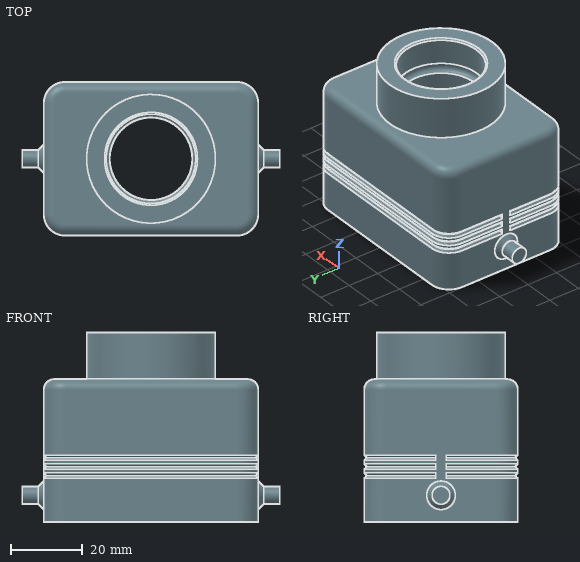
import cadquery as cq
import math

LENGTH = 60.0
WIDTH = 43.0
HEIGHT = 40.0
CORNER_RADIUS = 6.0
TOP_FILLET = 3.0

WALL = 3.0
CAVITY_SIDE = WIDTH - 2 * WALL
CAVITY_HEIGHT = HEIGHT - WALL

COLLAR_RADIUS = 18.0
COLLAR_HEIGHT = 13.0
TOTAL_HEIGHT = HEIGHT + COLLAR_HEIGHT
BORE_RADIUS = 12.5
BORE_CHAMFER = 0.5
PASSAGE_RADIUS = 11.5
RELIEF_RADIUS = 1.5
RELIEF_CENTER_DEPTH = 9.35

PEG_SPAN = 72.0
PEG_RADIUS = 2.5
PEG_Z = 7.5
PEG_BASE_RADIUS = 4.0
PEG_BASE_LENGTH = 1.5
PEG_EMBED = 1.0

GROOVE_COUNT = 3
LOWEST_GROOVE_Z = 13.0
GROOVE_PITCH = 2.5
GROOVE_DEPTH = 0.75
GROOVE_FLANK_ANGLE = 45.0
GROOVE_GAP = 2.8


def rounded_block(length, width, height, radius):
    """Upright block with rounded vertical corners, standing on Z = 0."""
    return cq.Workplane("XY").rect(length, width).extrude(height).edges("|Z").fillet(radius)


def groove_core(z, direction):
    """Frustum tapering at 45 degrees from the V's mouth to its root at height z."""
    mouth = z + direction * GROOVE_DEPTH
    return (
        cq.Workplane("XY", origin=(0, 0, mouth))
        .sketch().rect(LENGTH, WIDTH).vertices().fillet(CORNER_RADIUS).finalize()
        .extrude(-direction * GROOVE_DEPTH, taper=GROOVE_FLANK_ANGLE)
    )


def groove_cutter(z):
    """Ring with a 45-degree V section, broken at the middle of both end faces."""
    groove_width = 2 * GROOVE_DEPTH
    band = (
        rounded_block(LENGTH, WIDTH, groove_width, CORNER_RADIUS)
        .translate((0, 0, z - GROOVE_DEPTH))
    )
    gap = cq.Workplane("XY", origin=(0, 0, z)).box(LENGTH, GROOVE_GAP, groove_width)
    return band.cut(groove_core(z, 1)).cut(groove_core(z, -1)).cut(gap)


def peg(side):
    """Peg with a conical base on the end face at X = side * LENGTH / 2."""
    root = side * (LENGTH / 2 - PEG_EMBED)
    face = side * LENGTH / 2
    shoulder = face + side * PEG_BASE_LENGTH
    tip = side * PEG_SPAN / 2
    profile = [
        (root, 0),
        (root, PEG_BASE_RADIUS),
        (face, PEG_BASE_RADIUS),
        (shoulder, PEG_RADIUS),
        (tip, PEG_RADIUS),
        (tip, 0),
    ]
    return (
        cq.Workplane("XZ").polyline(profile).close()
        .revolve(360, (0, 0, 0), (1, 0, 0))
        .translate((0, 0, PEG_Z))
    )


def cable_bore():
    """Chamfered bore, round-bottomed relief groove and narrower passage down to the cavity."""
    relief_center = TOTAL_HEIGHT - RELIEF_CENTER_DEPTH
    relief_bottom = relief_center - RELIEF_RADIUS
    bore_bottom = relief_center + math.sqrt(RELIEF_RADIUS ** 2 - (BORE_RADIUS - PASSAGE_RADIUS) ** 2)
    return (
        cq.Workplane("XZ")
        .moveTo(0, CAVITY_HEIGHT)
        .lineTo(PASSAGE_RADIUS, CAVITY_HEIGHT)
        .lineTo(PASSAGE_RADIUS, relief_bottom)
        .threePointArc((PASSAGE_RADIUS + RELIEF_RADIUS, relief_center), (BORE_RADIUS, bore_bottom))
        .lineTo(BORE_RADIUS, TOTAL_HEIGHT - BORE_CHAMFER)
        .lineTo(BORE_RADIUS + BORE_CHAMFER, TOTAL_HEIGHT)
        .lineTo(0, TOTAL_HEIGHT)
        .close()
        .revolve(360, (0, 0, 0), (0, 1, 0))
    )


body = rounded_block(LENGTH, WIDTH, HEIGHT, CORNER_RADIUS).faces(">Z").edges().fillet(TOP_FILLET)
for index in range(GROOVE_COUNT):
    body = body.cut(groove_cutter(LOWEST_GROOVE_Z + index * GROOVE_PITCH))

collar = cq.Workplane("XY", origin=(0, 0, HEIGHT)).circle(COLLAR_RADIUS).extrude(COLLAR_HEIGHT)
cavity = cq.Workplane("XY").rect(CAVITY_SIDE, CAVITY_SIDE).extrude(CAVITY_HEIGHT)

result = body.union(collar).union(peg(1)).union(peg(-1)).cut(cavity).cut(cable_bore())